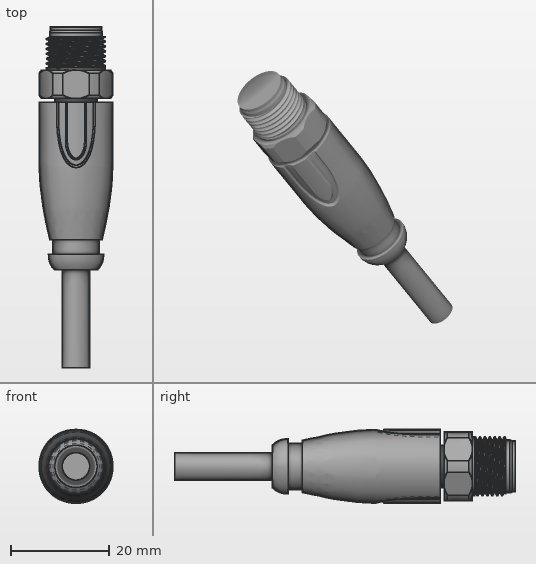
import cadquery as cq
import math

total_length = 69.3

tip_radius = 5.2
tip_end = 0.65
plug_radius = 5.38
plug_start = 1.15
thread_start = 1.96
thread_radius = 6.0
thread_pitch = 1.0
thread_root_width = 0.85
thread_crest_width = 0.1
thread_root_overlap = 0.1
thread_crest_offset = 1.95
thread_turns = 8
shoulder_start = 8.3

nut_start = 8.8
nut_end = 14.5
nut_across_flats = 14.0
nut_corner_radius = 7.5
nut_end_radius = 7.05
nut_chamfer_length = 0.65
nut_neck_radius = 4.3

grip_start = 15.28
grip_radius = 7.5
grip_taper_start = 27.5
grip_waist_position = 36.7
grip_waist_radius = 6.68
grip_end = 43.3
grip_end_radius = 5.3
grip_end_slope = 0.23

gland_neck_radius = 4.75
bead_start = 46.2
bead_radius = 5.6
bead_bulge_position = 48.3
bead_bulge_radius = 5.15
bead_end = 49.4
bead_end_radius = 4.3
cable_radius = 2.8

panel_floor_radius = 7.0
panel_half_width = 5.0
panel_round_start = 18.8
panel_tip = 28.6
panel_wall_growth = 1.0
tongue_half_width = 1.62
tongue_round_start = 23.4
tongue_tip = 26.7
tongue_wall_shrinkage = 0.6
panel_wall_height = 1.7
panel_clearance = 0.5


def turned_body():
    """Plug, necks, grip, gland and cable as one solid of revolution."""
    return (
        cq.Workplane("XY")
        .lineTo(tip_radius, 0)
        .lineTo(tip_radius, -tip_end)
        .lineTo(plug_radius, -plug_start)
        .lineTo(plug_radius, -shoulder_start)
        .lineTo(thread_radius, -shoulder_start)
        .lineTo(thread_radius, -nut_end)
        .lineTo(nut_neck_radius, -nut_end)
        .lineTo(nut_neck_radius, -grip_start)
        .lineTo(grip_radius, -grip_start)
        .lineTo(grip_radius, -grip_taper_start)
        .spline(
            [(grip_waist_radius, -grip_waist_position), (grip_end_radius, -grip_end)],
            tangents=[(0, -1), (-grip_end_slope, -1)],
            includeCurrent=True,
        )
        .lineTo(gland_neck_radius, -grip_end)
        .lineTo(gland_neck_radius, -bead_start)
        .lineTo(bead_radius, -bead_start)
        .threePointArc((bead_bulge_radius, -bead_bulge_position), (bead_end_radius, -bead_end))
        .lineTo(cable_radius, -bead_end)
        .lineTo(cable_radius, -total_length)
        .lineTo(0, -total_length)
        .close()
        .revolve(360, (0, 0), (0, 1))
    )


def thread():
    """Right-handed helical ridge, trimmed square at its tip end."""
    root_radius = plug_radius - thread_root_overlap
    sweep_start = thread_crest_offset + (thread_turns - 1) * thread_pitch
    helix = cq.Wire.makeHelix(thread_pitch, thread_turns * thread_pitch, root_radius)
    ridge = (
        cq.Workplane("XZ")
        .moveTo(root_radius, -thread_root_width / 2)
        .lineTo(thread_radius, -thread_crest_width / 2)
        .lineTo(thread_radius, thread_crest_width / 2)
        .lineTo(root_radius, thread_root_width / 2)
        .close()
        .sweep(cq.Workplane(helix), isFrenet=True)
        .rotate((0, 0, 0), (1, 0, 0), -90)
        .translate((0, -sweep_start, 0))
    )
    trim = cylinder(nut_corner_radius, thread_start, nut_end)
    return ridge.intersect(trim)


def cylinder(radius, start, end):
    """Cylinder on the connector axis between two distances from the tip."""
    return cq.Workplane("XZ", origin=(0, -start, 0)).circle(radius).extrude(end - start)


def nut():
    """Hexagon with flats facing +Z and -Z, trimmed by a cylinder chamfered at both ends."""
    length = nut_end - nut_start
    hexagon = (
        cq.Workplane("XZ", origin=(0, -nut_start, 0))
        .polygon(6, nut_across_flats / math.cos(math.pi / 6))
        .extrude(length)
    )
    envelope = (
        cq.Workplane("XY")
        .moveTo(0, -nut_start)
        .lineTo(nut_end_radius, -nut_start)
        .lineTo(nut_corner_radius, -nut_start - nut_chamfer_length)
        .lineTo(nut_corner_radius, -nut_end + nut_chamfer_length)
        .lineTo(nut_end_radius, -nut_end)
        .lineTo(0, -nut_end)
        .close()
        .revolve(360, (0, 0), (0, 1))
    )
    return hexagon.intersect(envelope)


def u_outline(half_width, round_start, tip, height, front):
    """Closed U at the given height: straight sides from the front, half-ellipse at the tip."""
    sketch = (
        cq.Workplane("XY", origin=(0, 0, height))
        .moveTo(-half_width, -round_start)
        .lineTo(-half_width, -front)
        .lineTo(half_width, -front)
        .lineTo(half_width, -round_start)
    )
    rounded_length = tip - round_start
    return sketch.parametricCurve(
        lambda t: (
            half_width * math.cos(math.pi * t),
            -round_start - rounded_length * math.sin(math.pi * t),
        ),
        makeWire=False,
    ).wire().val()


def sloped_u(half_width, round_start, tip, growth, front):
    """U-shaped block whose outline grows by `growth` per unit of height (negative shrinks)."""
    outlines = []
    for rise in (-panel_wall_height, panel_clearance):
        offset = growth * rise
        outlines.append(
            u_outline(half_width + offset, round_start, tip + offset, grip_radius + rise, front)
        )
    return cq.Workplane(cq.Solid.makeLoft(outlines, True))


def panel_cutter():
    """Material removed on the +Z side: the sloped U above its floor, less the tongue."""
    front = grip_start - panel_clearance
    recess = sloped_u(panel_half_width, panel_round_start, panel_tip, panel_wall_growth, front)
    tongue = sloped_u(
        tongue_half_width, tongue_round_start, tongue_tip, -tongue_wall_shrinkage, front - panel_clearance
    )
    floor = cylinder(panel_floor_radius, nut_end, grip_end)
    return recess.cut(tongue).cut(floor)


panel = panel_cutter()
opposite_panel = panel.rotate((0, 0, 0), (0, 1, 0), 180)
result = turned_body().cut(panel).cut(opposite_panel).union(nut()).union(thread())